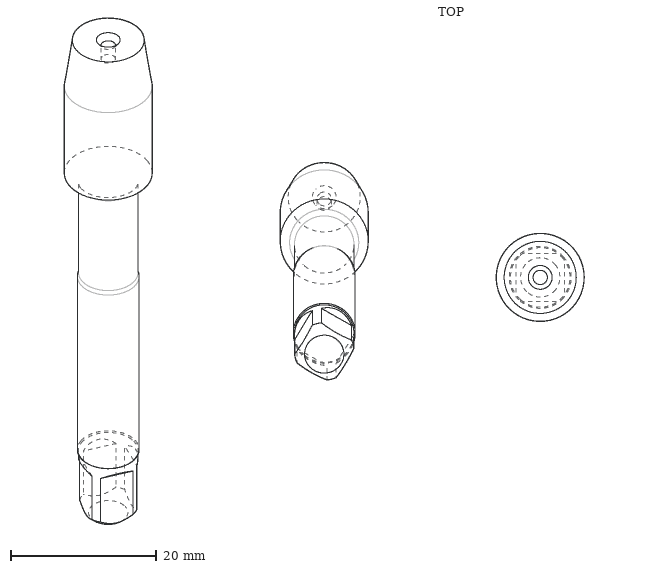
import cadquery as cq
import math

total_length = 82.0
taper_start = 74.05
head_bottom = 58.9
shank_top = 41.0
shank_bottom = 10.75
square_top = 8.9

head_diameter = 12.1
taper_end_diameter = 9.9
neck_diameter = 8.2
shank_diameter = 8.5
end_face_diameter = 5.4

head_back_angle = math.radians(25)
neck_blend_radius = 1.15
shank_bevel_height = 0.65

square_width = 6.65

center_mouth_diameter = 3.3
center_diameter = 2.0
center_depth = 3.3
mouth_half_angle = math.radians(36)
drill_half_angle = math.radians(60)

head_radius = head_diameter / 2
neck_radius = neck_diameter / 2
shank_radius = shank_diameter / 2
end_face_radius = end_face_diameter / 2
shank_end_chamfer = shank_radius - neck_radius


def make_body():
    """Revolve the stepped shank, the neck and the tapered head."""
    end_chamfer = neck_radius - end_face_radius
    head_back_height = (head_radius - neck_radius) * math.tan(head_back_angle)
    corner_z = head_bottom - head_back_height

    turn = math.pi / 2 - head_back_angle
    tangent = neck_blend_radius * math.tan(turn / 2)
    center_r = neck_radius + neck_blend_radius
    center_z = corner_z - tangent
    blend_middle = (
        center_r - neck_blend_radius * math.cos(turn / 2),
        center_z + neck_blend_radius * math.sin(turn / 2),
    )
    blend_end = (
        center_r - neck_blend_radius * math.cos(turn),
        center_z + neck_blend_radius * math.sin(turn),
    )

    return (
        cq.Workplane("XZ")
        .lineTo(end_face_radius, 0)
        .lineTo(neck_radius, end_chamfer)
        .lineTo(neck_radius, shank_bottom)
        .lineTo(shank_radius, shank_bottom + shank_end_chamfer)
        .lineTo(shank_radius, shank_top)
        .lineTo(neck_radius, shank_top + shank_bevel_height)
        .lineTo(neck_radius, center_z)
        .threePointArc(blend_middle, blend_end)
        .lineTo(head_radius, head_bottom)
        .lineTo(head_radius, taper_start)
        .lineTo(taper_end_diameter / 2, total_length)
        .lineTo(0, total_length)
        .close()
        .revolve(360, (0, 0, 0), (0, 1, 0))
    )


def make_flat_cutter():
    """Wedge-ended block that cuts one flat, with a 45 degree run-out."""
    flat = square_width / 2
    run_out = shank_radius - flat
    return (
        cq.Workplane("XZ")
        .moveTo(flat, 0)
        .lineTo(shank_radius, 0)
        .lineTo(shank_radius, square_top + run_out)
        .lineTo(flat, square_top)
        .close()
        .extrude(shank_radius, both=True)
    )


def make_center_hole():
    """Countersunk drilled hole with a conical bottom."""
    mouth_radius = center_mouth_diameter / 2
    radius = center_diameter / 2
    mouth_depth = (mouth_radius - radius) / math.tan(mouth_half_angle)
    floor_z = total_length - center_depth
    tip_z = floor_z - radius / math.tan(drill_half_angle)
    return (
        cq.Workplane("XZ")
        .moveTo(0, total_length)
        .lineTo(mouth_radius, total_length)
        .lineTo(radius, total_length - mouth_depth)
        .lineTo(radius, floor_z)
        .lineTo(0, tip_z)
        .close()
        .revolve(360, (0, 0, 0), (0, 1, 0))
    )


result = make_body().cut(make_center_hole())
for side in range(4):
    flat_cutter = make_flat_cutter().rotate((0, 0, 0), (0, 0, 1), 90 * side)
    result = result.cut(flat_cutter)